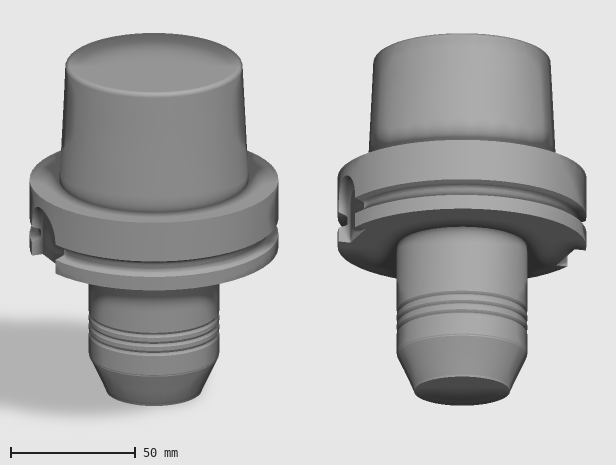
import cadquery as cq

flange_diameter = 100.0
flange_height = 29.0

head_height = 50.0
head_base_diameter = 76.1
head_taper = 1 / 10
head_rim_fillet = 1.9

groove_centre_drop = 19.9
groove_mouth_height = 6.6
groove_floor_height = 3.5
groove_floor_fillet = 1.0
groove_floor_radius = 46.2

keyway_top_drop = 4.7
front_keyway_width = 22.4
front_keyway_floor_distance = 44.0
rear_keyway_width = 20.0
rear_keyway_floor_distance = front_keyway_floor_distance

shank_diameter = 52.5
shank_length = 61.0
relief_depth = 0.15
relief_height = 0.4
relief_chamfer_height = 0.4

ring_groove_count = 3
ring_groove_pitch = 3.9
first_ring_groove_drop = 28.1
ring_groove_width = 2.2
ring_groove_depth = 0.75

nose_length = 15.1
nose_end_diameter = 39.0
nose_end_chamfer_height = 0.8
nose_end_chamfer_depth = 0.2

flange_radius = flange_diameter / 2
shank_radius = shank_diameter / 2


def revolve_profile(profile):
    """Close a profile drawn in the XZ plane and turn it about Z."""
    return profile.close().revolve(360, (0, 0, 0), (0, 1, 0))


def make_head():
    base_radius = head_base_diameter / 2
    top_radius = base_radius - head_taper * head_height / 2
    cone = revolve_profile(
        cq.Workplane("XZ").polyline([
            (0, 0),
            (base_radius, 0),
            (top_radius, head_height),
            (0, head_height),
        ])
    )
    return cone.faces(">Z").edges().fillet(head_rim_fillet)


def make_gripper_groove():
    """V-shaped ring with a flat floor and rounded floor corners."""
    mouth = groove_mouth_height / 2
    floor = groove_floor_height / 2
    ring = revolve_profile(
        cq.Workplane("XZ", origin=(0, 0, -groove_centre_drop)).polyline([
            (flange_radius, mouth),
            (groove_floor_radius, floor),
            (groove_floor_radius, -floor),
            (flange_radius, -mouth),
        ])
    )
    floor_corners = cq.selectors.RadiusNthSelector(0)
    return ring.edges(floor_corners).fillet(groove_floor_fillet)


def make_ring_groove(centre_z):
    """Symmetric V-shaped ring on the shank."""
    half_width = ring_groove_width / 2
    return revolve_profile(
        cq.Workplane("XZ", origin=(0, 0, centre_z)).polyline([
            (shank_radius, half_width),
            (shank_radius - ring_groove_depth, 0),
            (shank_radius, -half_width),
        ])
    )


def make_flange():
    body = cq.Workplane("XY").circle(flange_radius).extrude(-flange_height)
    return body.cut(make_gripper_groove())


def make_keyway(width, floor_distance, side):
    """Cutter for one keyway; side is -1 for the -Y face and +1 for the +Y face."""
    half_width = width / 2
    arc_centre_z = -keyway_top_drop - half_width
    outline = (
        cq.Workplane("XZ", origin=(0, side * floor_distance, 0))
        .moveTo(-half_width, -flange_height)
        .lineTo(-half_width, arc_centre_z)
        .threePointArc((0, -keyway_top_drop), (half_width, arc_centre_z))
        .lineTo(half_width, -flange_height)
        .close()
    )
    return outline.extrude(-side * (flange_radius - floor_distance))


def make_shank():
    """Cylinder with relieved ends, running into a conical nose."""
    top_z = -flange_height
    end_z = top_z - shank_length
    nose_z = end_z + nose_length
    relief_radius = shank_radius - relief_depth
    relief_total_height = relief_height + relief_chamfer_height
    nose_end_radius = nose_end_diameter / 2
    return revolve_profile(
        cq.Workplane("XZ").polyline([
            (0, top_z),
            (relief_radius, top_z),
            (relief_radius, top_z - relief_height),
            (shank_radius, top_z - relief_total_height),
            (shank_radius, nose_z + relief_total_height),
            (relief_radius, nose_z + relief_height),
            (relief_radius, nose_z),
            (nose_end_radius, end_z + nose_end_chamfer_height),
            (nose_end_radius - nose_end_chamfer_depth, end_z),
            (0, end_z),
        ])
    )


flange = make_flange()
flange = flange.cut(make_keyway(front_keyway_width, front_keyway_floor_distance, -1))
flange = flange.cut(make_keyway(rear_keyway_width, rear_keyway_floor_distance, 1))

shank = make_shank()
for index in range(ring_groove_count):
    drop = first_ring_groove_drop + index * ring_groove_pitch
    shank = shank.cut(make_ring_groove(-flange_height - drop))

result = flange.union(make_head()).union(shank)